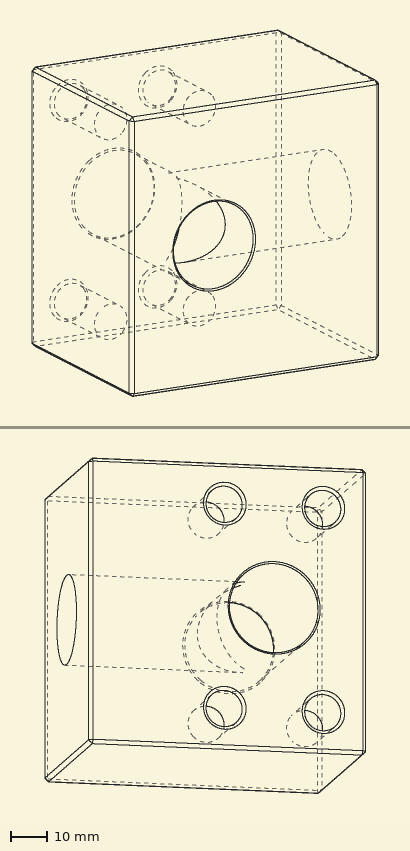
import cadquery as cq
import math

width = 58.0
depth = 78.0
height = 80.0
edge_chamfer = 1.0

bore_diameter = 25.0
bore_chamfer = 0.5
bore_from_front = 26.0
bore_y = bore_from_front - depth / 2

bolt_diameter = 10.2
bolt_mouth_diameter = 12.0
bolt_depth = 24.0
bolt_spacing_y = 27.8
bolt_spacing_z = 57.2
drill_tip_angle = 118.0

face_x = -width / 2


def make_block():
    """Block centred on the origin with every outer edge chamfered."""
    return cq.Workplane("XY").box(width, depth, height).edges().chamfer(edge_chamfer)


def turned_cutter(profile, y, z):
    """Revolve (distance along X, radius) points about the X-parallel axis at y, z."""
    axis_end = (1, 0)
    cutter = cq.Workplane("XY").polyline(profile).close().revolve(360, (0, 0), axis_end)
    return cutter.translate((face_x, y, z))


def bore_cutter():
    """Through bore with a small chamfer at both mouths."""
    radius = bore_diameter / 2
    mouth_radius = radius + bore_chamfer
    profile = [
        (0, 0),
        (0, mouth_radius),
        (bore_chamfer, radius),
        (width - bore_chamfer, radius),
        (width, mouth_radius),
        (width, 0),
    ]
    return turned_cutter(profile, bore_y, 0)


def side_bore_cutter():
    """Bore along Y from the main bore axis out through the +Y face, forming a tee."""
    length = depth - bore_from_front
    cutter = cq.Workplane("XZ").circle(bore_diameter / 2).extrude(-length)
    return cutter.translate((0, bore_y, 0))


def bolt_cutter(y, z):
    """Blind drilled hole with a 45 degree mouth and a conical bottom."""
    radius = bolt_diameter / 2
    mouth_radius = bolt_mouth_diameter / 2
    tip_length = radius / math.tan(math.radians(drill_tip_angle / 2))
    profile = [
        (0, 0),
        (0, mouth_radius),
        (mouth_radius - radius, radius),
        (bolt_depth, radius),
        (bolt_depth + tip_length, 0),
    ]
    return turned_cutter(profile, y, z)


result = make_block().cut(bore_cutter()).cut(side_bore_cutter())
for side_y in (-1, 1):
    for side_z in (-1, 1):
        hole_y = bore_y + side_y * bolt_spacing_y / 2
        hole_z = side_z * bolt_spacing_z / 2
        result = result.cut(bolt_cutter(hole_y, hole_z))